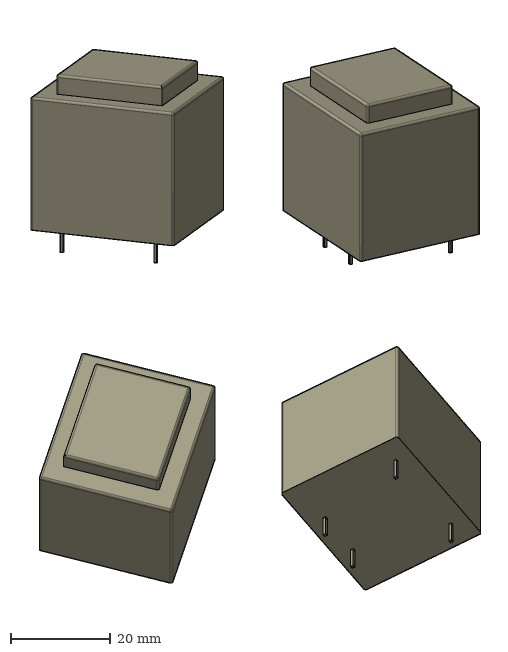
import cadquery as cq

total_height = 37.0
pin_length = 5.1
cap_height = 4.05
body_height = total_height - pin_length - cap_height

body_length = 31.0
body_width = 28.0

cap_length = 22.95
cap_width = 20.0

edge_radius = 0.5

pin_size = 0.6
pin_pitch = 5.07
row_spacing = 4 * pin_pitch
front_pin_places = (-2, 2)
back_pin_places = (-1, 1)


def sharp_block(length, width, height, base_z):
    """Plain block centred on the Z axis and standing at base_z."""
    block = cq.Workplane("XY").box(length, width, height, centered=(True, True, False))
    return block.translate((0, 0, base_z))


def make_body():
    """Body with rounded upright and top edges and a sharp bottom rim."""
    body = sharp_block(body_length, body_width, body_height, 0)
    return body.edges("|Z or >Z").fillet(edge_radius)


def make_cap():
    """Cap rounded like the body, except for the sharp upright edge at +X, -Y."""
    cap = sharp_block(cap_length, cap_width, cap_height, body_height)
    sharp_corner = cq.selectors.DirectionMinMaxSelector(cq.Vector(1, -1, 0), True)
    rounded_uprights = cq.selectors.StringSyntaxSelector("|Z") - sharp_corner
    top_rim = cq.selectors.StringSyntaxSelector(">Z")
    return cap.edges(rounded_uprights + top_rim).fillet(edge_radius)


def pin_row(places, row_y):
    """Pins hanging below the body at whole-pitch places along X."""
    points = [(place * pin_pitch, row_y) for place in places]
    return cq.Workplane("XY").pushPoints(points).rect(pin_size, pin_size).extrude(-pin_length)


front_pins = pin_row(front_pin_places, -row_spacing / 2)
back_pins = pin_row(back_pin_places, row_spacing / 2)

result = make_body().union(make_cap()).union(front_pins).union(back_pins)